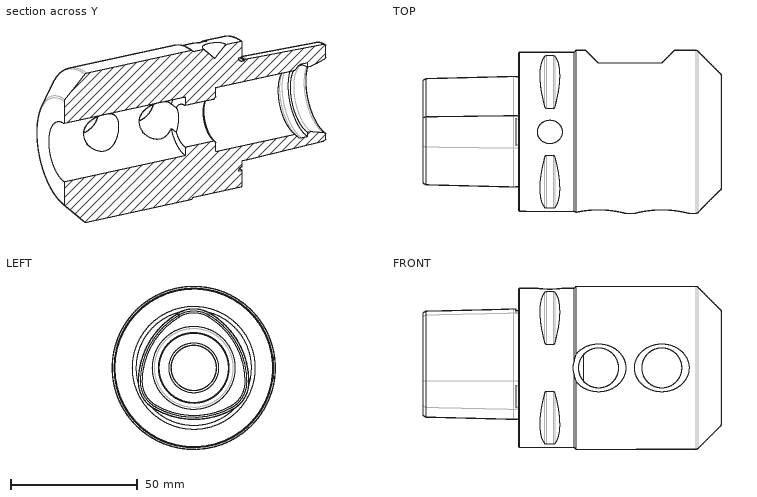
import cadquery as cq
import math


shank_end_x = 35.9
shank_tip_radius = 23.4
lobe_center_radius = 10.5
shank_width = 43.8
shank_taper = 1 / 40
nose_chamfer_length = 1.2
nose_chamfer_inset = 0.7
neck_inset = 0.2
neck_radius = 22.8
neck_start_x = 36.7

length = 118.0
flange_x = 37.8
flange_radius = 31.5
flange_chamfer = 0.4
body_radius = 64.5 / 2
body_start_x = 60.5
body_step = body_radius - flange_radius
cone_start_x = 108.3
cone_end_radius = body_radius - (length - cone_start_x)
cone_edge_round = 1.1

ring_groove_outer_radius = 24.3
ring_groove_depth = ring_groove_outer_radius - neck_radius

mouth_radius = 16.4
mouth_round_length = 1.3
mouth_inner_radius = 15.6
mouth_bulge = 0.1
lip_start_x = 6.8
lip_end_x = 8.4
lip_radius = 28.0 / 2
clamp_groove_radius = 15.8
clamp_groove_floor_end_x = 11.1
clamp_groove_round = 2.0
front_bore_radius = 13.7
web_start_x = 49.6
web_hole_radius = 17.8 / 2
web_hole_chamfer = 1.0

tool_bore_radius = 25.0 / 2
tool_bore_end_x = 63.5

screw_x = (69.4, 94.4)
screw_hole_radius = 15.8 / 2
screw_mouth_radius = 10.9
screw_countersink_depth = screw_mouth_radius - screw_hole_radius

recess_floor_y = 27.3
recess_floor_start_x = 69.3
recess_floor_end_x = 94.4

slot_x = 50.2
slot_floor_distance = 27.8
slot_floor_width = 3.7
slot_flare = 30
slot_corner_round = 0.8
slot_angles = (45, 135, 225, 315)
dimple_radius = 9.9 / 2


def lobed_section(x, inset):
    """Closed six-arc profile in the plane at x, offset inwards by inset."""
    tip_arc_radius = shank_tip_radius - lobe_center_radius - inset
    side_arc_radius = shank_width - (shank_tip_radius - lobe_center_radius) - inset

    def arc_point(center_angle, radius, angle):
        center, direction = math.radians(center_angle), math.radians(angle)
        y = lobe_center_radius * math.cos(center) + radius * math.cos(direction)
        z = lobe_center_radius * math.sin(center) + radius * math.sin(direction)
        return y, z

    profile = cq.Workplane("YZ", origin=(x, 0, 0)).moveTo(*arc_point(90, tip_arc_radius, 60))
    for lobe in (90, 210, 330):
        opposite = lobe + 240
        profile = profile.threePointArc(
            arc_point(lobe, tip_arc_radius, lobe), arc_point(lobe, tip_arc_radius, lobe + 30)
        )
        profile = profile.threePointArc(
            arc_point(opposite, side_arc_radius, lobe + 60),
            arc_point(opposite, side_arc_radius, lobe + 90),
        )
    return profile.close().wire().val()


def lobed_loft(start_x, start_inset, end_x, end_inset):
    sections = [lobed_section(start_x, start_inset), lobed_section(end_x, end_inset)]
    return cq.Workplane(cq.Solid.makeLoft(sections, True))


def revolve_about_x(profile):
    return profile.close().revolve(360, (0, 0, 0), (1, 0, 0))


def cylinder_x(radius, start_x, end_x):
    return cq.Workplane("YZ", origin=(start_x, 0, 0)).circle(radius).extrude(end_x - start_x)


def shank():
    chamfer_end_inset = (shank_end_x - nose_chamfer_length) * shank_taper
    nose = lobed_loft(0, chamfer_end_inset + nose_chamfer_inset, nose_chamfer_length, chamfer_end_inset)
    taper = lobed_loft(nose_chamfer_length, chamfer_end_inset, shank_end_x, 0)
    root_x = flange_x + ring_groove_depth
    neck = lobed_loft(shank_end_x, 0, root_x, neck_inset)
    turned_neck = cylinder_x(neck_radius, neck_start_x, root_x)
    around_neck = cylinder_x(flange_radius, neck_start_x, root_x).cut(turned_neck)
    neck = neck.cut(around_neck)
    return nose.union(taper).union(neck)


def body():
    outline = (
        cq.Workplane("XY")
        .moveTo(flange_x, 0)
        .lineTo(flange_x, flange_radius - flange_chamfer)
        .lineTo(flange_x + flange_chamfer, flange_radius)
        .lineTo(body_start_x - body_step, flange_radius)
        .lineTo(body_start_x, body_radius)
        .lineTo(cone_start_x, body_radius)
        .lineTo(length, cone_end_radius)
        .lineTo(length, 0)
    )
    turned = revolve_about_x(outline)
    cone_edges = turned.edges("%CIRCLE").edges(">X or >>X[-2]")
    return cone_edges.fillet(cone_edge_round)


def ring_groove():
    floor_x = flange_x + ring_groove_depth
    middle = ring_groove_depth * (1 - math.sqrt(0.5))
    outline = (
        cq.Workplane("XY")
        .moveTo(flange_x, neck_radius)
        .threePointArc((floor_x - middle, neck_radius + middle), (floor_x, ring_groove_outer_radius))
        .lineTo(flange_x, ring_groove_outer_radius)
    )
    return revolve_about_x(outline)


def front_bore():
    def groove_round_point(angle):
        turn = math.radians(angle)
        return (
            clamp_groove_floor_end_x + clamp_groove_round * math.sin(turn),
            clamp_groove_radius - clamp_groove_round * (1 - math.cos(turn)),
        )

    mouth_middle = (
        mouth_round_length / 2 - mouth_bulge,
        (mouth_radius + mouth_inner_radius) / 2 - mouth_bulge,
    )
    cone_start = groove_round_point(45)
    cone_length = cone_start[1] - front_bore_radius
    outline = (
        cq.Workplane("XY")
        .moveTo(0, 0)
        .lineTo(0, mouth_radius)
        .threePointArc(mouth_middle, (mouth_round_length, mouth_inner_radius))
        .lineTo(lip_start_x, lip_radius)
        .lineTo(lip_end_x, lip_radius)
        .lineTo(lip_end_x, clamp_groove_radius)
        .lineTo(clamp_groove_floor_end_x, clamp_groove_radius)
        .threePointArc(groove_round_point(22.5), cone_start)
        .lineTo(cone_start[0] + cone_length, front_bore_radius)
        .lineTo(web_start_x, front_bore_radius)
        .lineTo(web_start_x, web_hole_radius + web_hole_chamfer)
        .lineTo(web_start_x + web_hole_chamfer, web_hole_radius)
        .lineTo(tool_bore_end_x, web_hole_radius)
        .lineTo(tool_bore_end_x, 0)
    )
    return revolve_about_x(outline)


def tool_bore():
    return cylinder_x(tool_bore_radius, tool_bore_end_x, length)


def screw_hole(x):
    """Countersunk hole along +Y that ends at the holder axis."""
    outline = (
        cq.Workplane("XY", origin=(x, 0, 0))
        .lineTo(screw_hole_radius, 0)
        .lineTo(screw_hole_radius, screw_countersink_depth - body_radius)
        .lineTo(screw_mouth_radius, -body_radius)
        .lineTo(0, -body_radius)
    )
    return outline.close().revolve(360, (0, 0, 0), (0, 1, 0))


def balancing_recess():
    """Flat across the full height, with 45 degree end walls."""
    depth = body_radius - recess_floor_y
    outline = (
        cq.Workplane("XY", origin=(0, 0, -body_radius))
        .moveTo(recess_floor_start_x, recess_floor_y)
        .lineTo(recess_floor_end_x, recess_floor_y)
        .lineTo(recess_floor_end_x + depth, body_radius)
        .lineTo(recess_floor_start_x - depth, body_radius)
    )
    return outline.close().extrude(2 * body_radius)


def gripper_slot(angle):
    """Flared straight slot, tangential to the flange, at an angle from +Y towards +Z."""
    half_floor = slot_floor_width / 2
    height = body_radius - slot_floor_distance
    half_top = half_floor + height * math.tan(math.radians(slot_flare))
    cutter = (
        cq.Workplane("XY", origin=(slot_x, 0, -body_radius))
        .moveTo(-half_floor, slot_floor_distance)
        .lineTo(half_floor, slot_floor_distance)
        .lineTo(half_top, body_radius)
        .lineTo(-half_top, body_radius)
        .close()
        .extrude(2 * body_radius)
        .faces("<Y")
        .edges("|Z")
        .fillet(slot_corner_round)
    )
    return cutter.rotate((0, 0, 0), (1, 0, 0), angle)


def index_dimple():
    """90 degree cone sunk into the top of the flange."""
    tip = cq.Vector(slot_x, 0, flange_radius - dimple_radius)
    return cq.Workplane(cq.Solid.makeCone(0, dimple_radius, dimple_radius, tip, cq.Vector(0, 0, 1)))


result = body().cut(ring_groove()).union(shank())
result = result.cut(front_bore()).cut(tool_bore())
for x in screw_x:
    result = result.cut(screw_hole(x))
result = result.cut(balancing_recess())
for angle in slot_angles:
    result = result.cut(gripper_slot(angle))
result = result.cut(index_dimple())